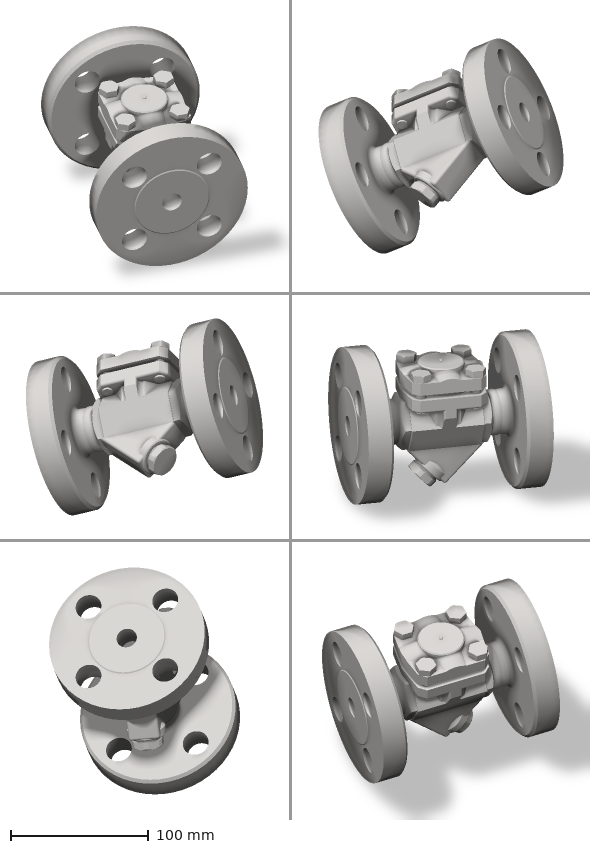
import cadquery as cq
import math

length = 140.0

flange_dia = 115.0
flange_thickness = 19.6
flange_chamfer = 2.1
raised_face_dia = 57.1
raised_face_height = 0.5
raised_face_taper = 0.8
bore_dia = 15.0
bolt_circle_dia = 80.1
bolt_hole_dia = 19.0

neck_flare_radius = 19.9
neck_flare_length = 3.2
neck_radius = 16.8
neck_waist_radius = 16.4
neck_waist_x = 41.7
weld_dia = 34.0
weld_x = 38.2

body_half_length = 35.0
body_flats = 37.0
body_end_radius = 16.2
body_end_chamfer_angle = 60.0
middle_half_length = 27.5
middle_flats = 39.5
middle_end_chamfer = 0.5

column_half_width = 21.7
column_diagonal_reach = 30.8
column_rib_half_width = 4.9
column_rib_edge_radius = 1.4
column_rib_root_radius = 2.8

plate_half_width = 28.3
plate_corner_x = 28.0
plate_corner_cut = 5.2
plate_peak_x = 31.1
lower_plate_bottom = 15.3
lower_plate_top = 25.2
lower_plate_edge_radius = 1.7
cover_bottom = 29.4
cover_top = 38.5
gasket_ring_dia = 45.8

cap_dia = 34.0
cap_top = 44.0
cap_chamfer = 0.8
cap_base_radius = 1.1
pin_dia = 3.1
pin_chamfer = 0.7
pin_height = 1.1
cover_rib_inner = 11.2
cover_rib_inner_half_width = 10.8
cover_rib_inner_rise = 4.5
cover_rib_outer = 31.5
cover_rib_outer_half_width = 7.5
cover_rib_outer_rise = 1.3

bolt_offset = 20.6
bolt_shank_dia = 8.0
bolt_shank_bottom = 13.9
bolt_head_flats = 13.3
bolt_head_chamfer = 0.5

leg_edge_radius = 2.0
leg_overlap = 1.5
leg_plain_side = 34.5
leg_plug_side = 34.0

plug_axis_offset = 20.0
boss_dia = 28.0
boss_cone_start = 25.8
boss_cone_dia = 21.0
boss_start = 28.7
boss_end = 35.1
boss_chamfer = 0.8
collar_dia = 21.0
collar_end = 37.1
plug_head_end = 43.0
plug_head_flats = 21.7
plug_head_dia = 23.2
plug_head_chamfer = 0.8

selector_margin = 0.1

flange_outer_x = length / 2 - raised_face_height
flange_inner_x = flange_outer_x - flange_thickness


def hexagon_corners(across_flats):
    """Distance across the corners of a hexagon, from its distance across the flats."""
    return across_flats / math.cos(math.pi / 6)


def both_ends(shape):
    """The shape at the +X end, together with its mirror image at the -X end."""
    return shape.union(shape.mirror("YZ"))


def hexagon_bar(across_flats, half_length):
    """Hexagonal bar along X with corners at the front and back."""
    return cq.Workplane("YZ").polygon(6, hexagon_corners(across_flats)).extrude(half_length, both=True)


def chamfered_disc(plane, start, end, diameter, chamfer):
    """Disc between two distances along the normal of a plane, chamfered at its far end."""
    return (
        cq.Workplane(plane)
        .workplane(offset=start)
        .circle(diameter / 2)
        .extrude(end - start)
        .faces(cq.selectors.DirectionMinMaxSelector(plane.zDir))
        .chamfer(chamfer)
    )


def make_flange_and_neck():
    """Revolved +X end: raised face, flange disc, flared neck and rounded weld seam."""
    flange_radius = flange_dia / 2
    raised_radius = raised_face_dia / 2
    end = (
        cq.Workplane("XY")
        .moveTo(0, 0)
        .lineTo(length / 2, 0)
        .lineTo(length / 2, raised_radius - raised_face_taper)
        .lineTo(flange_outer_x, raised_radius)
        .lineTo(flange_outer_x, flange_radius)
        .lineTo(flange_inner_x + flange_chamfer, flange_radius)
        .lineTo(flange_inner_x, flange_radius - flange_chamfer)
        .lineTo(flange_inner_x, neck_flare_radius)
        .tangentArcPoint((flange_inner_x - neck_flare_length, neck_radius), relative=False)
        .lineTo(neck_waist_x, neck_waist_radius)
        .threePointArc((weld_x, weld_dia / 2), (body_half_length, body_end_radius))
        .lineTo(0, body_end_radius)
        .close()
        .revolve(360, (0, 0, 0), (1, 0, 0))
    )
    hole_offset = bolt_circle_dia / 2 * math.sin(math.pi / 4)
    bolt_holes = (
        cq.Workplane("YZ", origin=(flange_inner_x, 0, 0))
        .rect(2 * hole_offset, 2 * hole_offset, forConstruction=True)
        .vertices()
        .circle(bolt_hole_dia / 2)
        .extrude(flange_thickness)
    )
    bore = cq.Workplane("YZ", origin=(flange_inner_x, 0, 0)).circle(bore_dia / 2).extrude(length)
    return end.cut(bolt_holes).cut(bore)


def make_body():
    """Hexagonal body with turned end chamfers and a slightly larger middle section."""
    corner_radius = hexagon_corners(body_flats) / 2
    chamfer_length = (corner_radius - body_end_radius) / math.tan(math.radians(body_end_chamfer_angle))
    turned_half = (
        cq.Workplane("XY")
        .polyline([
            (0, 0),
            (body_half_length, 0),
            (body_half_length, body_end_radius),
            (body_half_length - chamfer_length, corner_radius),
            (0, corner_radius),
        ])
        .close()
        .revolve(360, (0, 0, 0), (1, 0, 0))
    )
    bar = hexagon_bar(body_flats, body_half_length).intersect(both_ends(turned_half))
    middle = hexagon_bar(middle_flats, middle_half_length).faces("<X or >X").chamfer(middle_end_chamfer)
    return bar.union(middle)


def make_column():
    """Octagonal column with front and back ribs, cut off below along the lower body flats."""
    rib_top = lower_plate_bottom + lower_plate_edge_radius
    octagon_corner = column_diagonal_reach - column_half_width
    column = (
        cq.Workplane("XY")
        .rect(2 * column_half_width, 2 * column_half_width)
        .extrude(rib_top)
        .edges("|Z")
        .chamfer(column_half_width - octagon_corner)
    )
    rib = (
        cq.Workplane("XY")
        .rect(2 * column_rib_half_width, 2 * plate_half_width)
        .extrude(rib_top)
        .edges("|Z")
        .fillet(column_rib_edge_radius)
    )
    root_edges = cq.selectors.BoxSelector(
        (-column_rib_half_width - selector_margin, -column_half_width - selector_margin, 0),
        (column_rib_half_width + selector_margin, column_half_width + selector_margin, rib_top),
    )
    column = column.union(rib).edges("|Z").edges(root_edges).fillet(column_rib_root_radius)

    body_corner = hexagon_corners(middle_flats) / 2
    rib_foot_z = (plate_half_width - body_corner) * math.tan(math.pi / 3)
    under_plate = (
        cq.Workplane("YZ")
        .polyline([
            (-body_corner, 0),
            (body_corner, 0),
            (plate_half_width, rib_foot_z),
            (plate_half_width, rib_top),
            (-plate_half_width, rib_top),
            (-plate_half_width, rib_foot_z),
        ])
        .close()
        .extrude(column_half_width, both=True)
    )
    return column.intersect(under_plate)


def plate(bottom, top):
    """Plate with cut corners and ends that rise to a shallow peak."""
    quarter = [
        (plate_corner_x - plate_corner_cut, plate_half_width),
        (plate_corner_x, plate_half_width - plate_corner_cut),
    ]
    right = quarter + [(plate_peak_x, 0)] + [(x, -y) for x, y in reversed(quarter)]
    left = [(-x, y) for x, y in reversed(right)]
    return cq.Workplane("XY", origin=(0, 0, bottom)).polyline(right + left).close().extrude(top - bottom)


def make_cover_rib():
    """Arched rib along +X that falls and narrows away from the central cap."""
    return (
        cq.Workplane("YZ", origin=(cover_rib_inner, 0, cover_top))
        .moveTo(-cover_rib_inner_half_width, 0)
        .threePointArc((0, cover_rib_inner_rise), (cover_rib_inner_half_width, 0))
        .close()
        .workplane(offset=cover_rib_outer - cover_rib_inner)
        .moveTo(-cover_rib_outer_half_width, 0)
        .threePointArc((0, cover_rib_outer_rise), (cover_rib_outer_half_width, 0))
        .close()
        .loft(ruled=True)
    )


def make_cover():
    """Cover plate with four arched ribs, a filleted central cap and a small pin."""
    ribs = make_cover_rib()
    for quarter in range(1, 4):
        ribs = ribs.union(make_cover_rib().rotate((0, 0, 0), (0, 0, 1), 90 * quarter))
    ribs = ribs.intersect(plate(cover_bottom, cap_top))

    cap = chamfered_disc(cq.Plane.XY(), cover_bottom, cap_top, cap_dia, cap_chamfer)
    cap_reach = cap_dia / 2 + selector_margin
    cap_base = cq.selectors.BoxSelector(
        (-cap_reach, -cap_reach, cover_top - selector_margin),
        (cap_reach, cap_reach, cap_top - cap_chamfer - selector_margin),
        boundingbox=True,
    )
    cover = plate(cover_bottom, cover_top).union(ribs).union(cap).edges(cap_base).fillet(cap_base_radius)
    pin = chamfered_disc(cq.Plane.XY(), cap_top, cap_top + pin_height, pin_dia, pin_chamfer)
    return cover.union(pin)


def make_bolt(x, y, turn):
    """Hexagon-head cover bolt; its head is level with the cap."""
    corners = hexagon_corners(bolt_head_flats)
    turned_head = chamfered_disc(cq.Plane.XY(), cover_top, cap_top, corners, bolt_head_chamfer)
    head = (
        cq.Workplane("XY", origin=(0, 0, cover_top))
        .polygon(6, corners)
        .extrude(cap_top - cover_top)
        .intersect(turned_head)
        .rotate((0, 0, 0), (0, 0, 1), turn)
    )
    shank = (
        cq.Workplane("XY", origin=(0, 0, bolt_shank_bottom))
        .circle(bolt_shank_dia / 2)
        .extrude(cover_top - bolt_shank_bottom)
    )
    return head.union(shank).translate((x, y, 0))


def make_strainer_leg():
    """Wedge below the body, as wide as the lower body flat, with rounded edges."""
    width = hexagon_corners(middle_flats) / 2
    root_2 = math.sqrt(2)
    tip = ((leg_plug_side - leg_plain_side) / root_2, -(leg_plug_side + leg_plain_side) / root_2)
    top_z = leg_overlap - middle_flats / 2
    height = top_z - tip[1]
    side = (middle_half_length, tip[1] + middle_half_length - tip[0])
    return (
        cq.Workplane("XZ")
        .polyline([tip, side, (middle_half_length, top_z), (tip[0] - height, top_z)])
        .close()
        .extrude(width / 2, both=True)
        .edges("not >Z")
        .fillet(leg_edge_radius)
    )


def make_strainer_plug():
    """Coned boss on the leg, with a collar and a rounded hexagon head."""
    axis_shift = plug_axis_offset / math.sqrt(2)
    axis = cq.Plane(origin=(-axis_shift, 0, -axis_shift), xDir=(0, 1, 0), normal=(1, 0, -1))
    cone = (
        cq.Workplane(axis)
        .workplane(offset=boss_cone_start)
        .circle(boss_cone_dia / 2)
        .workplane(offset=boss_start - boss_cone_start)
        .circle(boss_dia / 2)
        .loft()
    )
    boss = chamfered_disc(axis, boss_start, boss_end, boss_dia, boss_chamfer)
    collar_height = collar_end - boss_end
    collar = cq.Workplane(axis).workplane(offset=boss_end).circle(collar_dia / 2).extrude(collar_height)
    rounding = chamfered_disc(axis, collar_end, plug_head_end, plug_head_dia, plug_head_chamfer)
    head = (
        cq.Workplane(axis)
        .workplane(offset=collar_end)
        .transformed(rotate=(0, 0, 30))
        .polygon(6, hexagon_corners(plug_head_flats))
        .extrude(plug_head_end - collar_end)
        .intersect(rounding)
    )
    return cone.union(boss).union(collar).union(head)


lower_plate = plate(lower_plate_bottom, lower_plate_top).faces("<Z").edges().fillet(lower_plate_edge_radius)
gasket_ring = (
    cq.Workplane("XY", origin=(0, 0, lower_plate_top))
    .circle(gasket_ring_dia / 2)
    .extrude(cover_bottom - lower_plate_top)
)

result = make_body().union(make_column()).union(both_ends(make_flange_and_neck()))
result = result.union(lower_plate).union(gasket_ring).union(make_cover())
result = result.union(make_strainer_leg()).union(make_strainer_plug())

for x_side in (-1, 1):
    for y_side in (-1, 1):
        head_turn = 0 if x_side * y_side < 0 else 30
        result = result.union(make_bolt(x_side * bolt_offset, y_side * bolt_offset, head_turn))